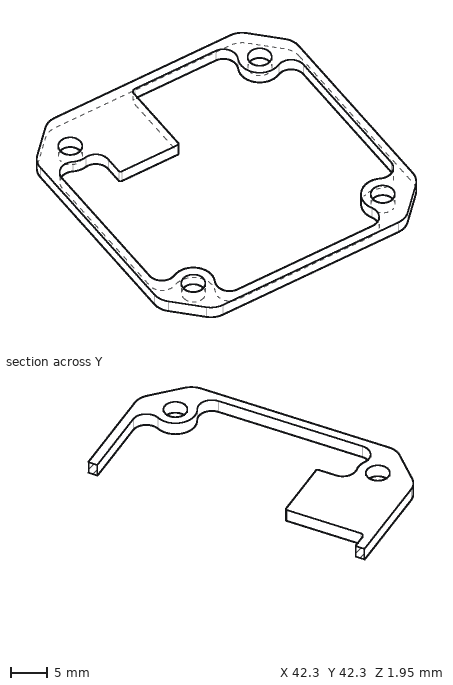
import cadquery as cq
import math

length = 42.32
width = 42.3
thickness = 1.95
corner_chamfer = 5.55
corner_radius = 3.0

rim_width = 1.4
hole_diameter = 3.3
hole_offset = 15.5
boss_radius = 3.0
blend_radius = 2.0

tab_right = -7.63
tab_top = -2.75
tab_bottom = boss_radius - hole_offset
tab_root_radius = 0.6
tab_tip_radius = 0.3

inner_x = length / 2 - rim_width
inner_y = width / 2 - rim_width


def prism(points):
    """Straight-sided piece of full plate thickness."""
    return cq.Workplane("XY").polyline(points).close().extrude(thickness)


def disc(x, y, radius):
    return cq.Workplane("XY").center(x, y).circle(radius).extrude(thickness)


def blend_reach(center_distance):
    """Offset along a wall that makes a blend arc touch both the wall and a boss.

    center_distance is how far the arc centre lies from the boss centre across the wall.
    """
    return math.sqrt((boss_radius + blend_radius) ** 2 - center_distance ** 2)


def outer_plate():
    plate = cq.Workplane("XY").box(length, width, thickness, centered=(True, True, False))
    return plate.edges("|Z").chamfer(corner_chamfer).edges("|Z").fillet(corner_radius)


def rim_opening():
    return cq.Workplane("XY").rect(2 * inner_x, 2 * inner_y).extrude(thickness)


def corner_pad():
    """Boss of the +X +Y corner, filled out to the rim and blended into both walls."""
    boss_center = (hole_offset, hole_offset)

    upper_y = inner_y - blend_radius
    upper_x = hole_offset - blend_reach(upper_y - hole_offset)

    side_x = inner_x - blend_radius
    side_y = hole_offset - blend_reach(side_x - hole_offset)

    web = prism([
        boss_center,
        (upper_x, upper_y),
        (upper_x, inner_y),
        (inner_x, inner_y),
        (inner_x, side_y),
        (side_x, side_y),
    ])
    web = web.cut(disc(upper_x, upper_y, blend_radius))
    web = web.cut(disc(side_x, side_y, blend_radius))
    return web.union(disc(*boss_center, boss_radius)).intersect(outer_plate())


def tab():
    """Flat tab with rounded tips, a rounded root and a blend into the -X -Y boss."""
    body = prism([
        (-inner_x, tab_bottom),
        (tab_right, tab_bottom),
        (tab_right, tab_top),
        (-inner_x, tab_top),
    ])
    body = body.edges("|Z and >X").fillet(tab_tip_radius)

    root_x = -inner_x + tab_root_radius
    root_y = tab_top + tab_root_radius
    root = prism([(-inner_x, tab_top), (root_x, tab_top), (root_x, root_y), (-inner_x, root_y)])
    root = root.cut(disc(root_x, root_y, tab_root_radius))

    blend_y = tab_bottom - blend_radius
    blend_x = -hole_offset + blend_reach(blend_y + hole_offset)
    web = prism([
        (-inner_x, tab_bottom),
        (-inner_x, -hole_offset),
        (-hole_offset, -hole_offset),
        (blend_x, blend_y),
        (blend_x, tab_bottom),
    ])
    web = web.cut(disc(blend_x, blend_y, blend_radius))
    return body.union(root).union(web)


def screw_holes():
    spacing = 2 * hole_offset
    pattern = cq.Workplane("XY").rarray(spacing, spacing, 2, 2)
    return pattern.circle(hole_diameter / 2).extrude(thickness)


right_pads = corner_pad().union(corner_pad().mirror("XZ"))
pads = right_pads.union(right_pads.mirror("YZ"))

result = outer_plate().cut(rim_opening()).union(pads).union(tab()).cut(screw_holes())